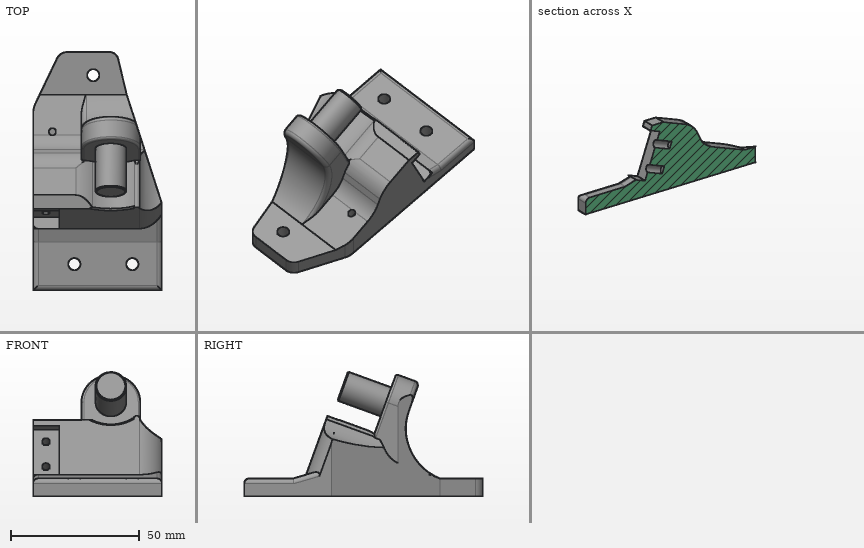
import cadquery as cq
import math

WIDTH = 50.0
LENGTH = 92.6
SLAB_TOP = 6.95
EDGE_ROUND = 1.9
TILT = 20.0
COS = math.cos(math.radians(TILT))
SIN = math.sin(math.radians(TILT))
SLOPE = SIN / COS

SIDE_BEND_LEFT = 70.8
REAR_LEFT = 10.5
REAR_RIGHT = 32.4
SIDE_BEND_RIGHT = 33.8
KNEE_X, KNEE_Y = 36.4, 76.0
REAR_ROUND_LEFT, REAR_ROUND_RIGHT = 4.6, 3.7
BEND_ROUND = 8.8

RAMP_START = 18.9
FOOT_Y, FOOT_Z = 24.0, 8.4
REAR_SLOPE_START = 76.0
FRONT_TOP = 29.6
FLAT_BACK = 37.05
STEP_LOW_Y = 60.5
STEP_HIGH_Y = 47.6
WALL_LOW = (54.7, 17.9)
WALL_HIGH = (53.5, 20.5)

PIN_X, PIN_Y, PIN_Z = 30.2, 55.0, 36.7
PIN_RADIUS = 6.0
PIN_LENGTH = 17.9
PIN_CHAMFER = 0.5
LUG_RADIUS = 11.5
LUG_THICKNESS = 9.6
LUG_FRONT_ROUND = 0.9
LUG_BACK_ROUND = 1.85

SADDLE_RADIUS = 16.1
SADDLE_BLEND_START = -13.7
SADDLE_BLEND_END = -7.1
SADDLE_RIGHT = 9.2
CREST_TOP = (10.2, -12.9)
CREST_END = (11.3, -14.3)
SADDLE_LIP = 0.65
SCOOP_MID = (14.1, -17.8)
SCOOP_END = (19.8, -20.75)
CORNER_WIDTH, CORNER_DEPTH = 8.8, 5.1

POCKET_WIDTH = 10.2
POCKET_DEPTH = 4.6
POCKET_HEIGHT = 20.3
POCKET_HOLE_X = 5.0
POCKET_HOLE_HEIGHTS = (5.0, 15.3)
SMALL_HOLE = 3.0
SMALL_HOLE_DEPTH = 7.4

MOUNT_HOLE = 4.6
MOUNT_POINTS = [(16.0, 10.2), (38.5, 10.2), (23.3, 83.55)]
REAR_HOLE_X, REAR_HOLE_Y = 7.5, 61.6
REAR_HOLE = 2.8
REAR_HOLE_DEPTH = 5.6

CLEARANCE = 55.6

pin_plane = cq.Plane((PIN_X, PIN_Y, PIN_Z), (1, 0, 0), (0, -COS, SIN))
front_plane = cq.Plane((0, FOOT_Y, FOOT_Z), (1, 0, 0), (0, SIN, COS))


def rear_slope(y):
    return SLAB_TOP + (REAR_SLOPE_START - y) * SLOPE


def upper_slope(y):
    return FRONT_TOP + (FLAT_BACK - y) * SLOPE


def outline_prism():
    """Base outline standing taller than the body."""
    points = [
        (0, 0), (WIDTH, 0), (WIDTH, SIDE_BEND_RIGHT), (KNEE_X, KNEE_Y),
        (REAR_RIGHT, LENGTH), (REAR_LEFT, LENGTH), (0, SIDE_BEND_LEFT),
    ]
    prism = cq.Workplane("XY").polyline(points).close().extrude(CLEARANCE)

    def round_corner(solid, x, y, radius):
        return solid.edges(cq.selectors.NearestToPointSelector((x, y, CLEARANCE / 2))).fillet(radius)

    prism = round_corner(prism, REAR_LEFT, LENGTH, REAR_ROUND_LEFT)
    prism = round_corner(prism, REAR_RIGHT, LENGTH, REAR_ROUND_RIGHT)
    return round_corner(prism, 0, SIDE_BEND_LEFT, BEND_ROUND)


def base():
    """Flat slab with a ramp up to the foot of the body and rounded front edges."""
    ramp_slope = (FOOT_Z - SLAB_TOP) / (FOOT_Y - RAMP_START)
    ramp_end_z = SLAB_TOP + (SIDE_BEND_RIGHT - RAMP_START) * ramp_slope
    front = (
        cq.Workplane("YZ")
        .polyline([(0, 0), (0, SLAB_TOP), (RAMP_START, SLAB_TOP),
                   (SIDE_BEND_RIGHT, ramp_end_z), (SIDE_BEND_RIGHT, 0)])
        .close()
        .extrude(WIDTH)
    )
    low = cq.selectors.BoxSelector((-0.9, -0.9, SLAB_TOP - 0.9), (WIDTH + 0.9, SIDE_BEND_RIGHT - 0.9, ramp_end_z))
    inner = cq.selectors.BoxSelector((0.9, RAMP_START - 0.9, 0), (WIDTH - 0.9, RAMP_START + 0.9, FOOT_Z))
    front = front.edges(low - inner).fillet(EDGE_ROUND)
    rear_length = LENGTH - SIDE_BEND_RIGHT
    rear = cq.Workplane("XY").box(WIDTH, rear_length, SLAB_TOP, centered=False)
    return front.union(rear.translate((0, SIDE_BEND_RIGHT, 0)))


def saddle_cutter():
    """Space above the body top: flat, blend, saddle trough, crest and side scoop."""
    flat = (upper_slope(PIN_Y) - PIN_Z) * COS
    bottom = -SADDLE_RADIUS
    blend_end = -math.sqrt(SADDLE_RADIUS**2 - SADDLE_BLEND_END**2)
    return (
        cq.Workplane(pin_plane)
        .workplane(offset=-CLEARANCE / 2)
        .moveTo(-CLEARANCE, flat)
        .lineTo(SADDLE_BLEND_START, flat)
        .tangentArcPoint((SADDLE_BLEND_END, blend_end), relative=False)
        .threePointArc((0, bottom), (SADDLE_RIGHT, -math.sqrt(SADDLE_RADIUS**2 - SADDLE_RIGHT**2)))
        .threePointArc(CREST_TOP, CREST_END)
        .threePointArc(SCOOP_MID, SCOOP_END)
        .lineTo(CLEARANCE, SCOOP_END[1])
        .lineTo(CLEARANCE, CLEARANCE)
        .lineTo(-CLEARANCE, CLEARANCE)
        .close()
        .extrude(CLEARANCE * 1.5)
    )


def body():
    """Wedge with a leaning front, stepped back and shaped top."""
    peak = (upper_slope(FOOT_Y) - FOOT_Z) * COS * COS
    wedge = (
        cq.Workplane("YZ")
        .moveTo(SIDE_BEND_RIGHT, 0)
        .lineTo(FOOT_Y, FOOT_Z)
        .lineTo(FOOT_Y + peak * SLOPE, FOOT_Z + peak)
        .lineTo(STEP_HIGH_Y, upper_slope(STEP_HIGH_Y))
        .tangentArcPoint(WALL_HIGH, relative=False)
        .lineTo(*WALL_LOW)
        .tangentArcPoint((STEP_LOW_Y, rear_slope(STEP_LOW_Y)), relative=False)
        .lineTo(REAR_SLOPE_START, SLAB_TOP)
        .lineTo(REAR_SLOPE_START, 0)
        .close()
        .extrude(WIDTH)
    )
    crest = (
        cq.Workplane("XY")
        .box(PIN_X, FLAT_BACK, CLEARANCE, centered=False)
        .translate((0, 0, FRONT_TOP))
    )
    radius = (CORNER_WIDTH**2 + CORNER_DEPTH**2) / (2 * CORNER_DEPTH)
    half_turn = math.atan2(CORNER_WIDTH, radius - CORNER_DEPTH) / 2
    start = WIDTH - CORNER_WIDTH
    mid = (start + radius * math.sin(half_turn), radius * (1 - math.cos(half_turn)))
    corner = (
        cq.Workplane(front_plane)
        .moveTo(start, 0)
        .threePointArc(mid, (WIDTH, CORNER_DEPTH))
        .lineTo(WIDTH + CORNER_WIDTH, CORNER_DEPTH)
        .lineTo(WIDTH + CORNER_WIDTH, -CORNER_WIDTH)
        .lineTo(start, -CORNER_WIDTH)
        .close()
        .extrude(CLEARANCE, both=True)
    )
    shaped = wedge.cut(saddle_cutter()).cut(crest)
    saddle_depth = PIN_Z - FOOT_Z + (PIN_Y - FOOT_Y) * SLOPE
    saddle_height = saddle_depth * COS - SADDLE_RADIUS
    saddle_front = (PIN_X, FOOT_Y + saddle_height * SIN, FOOT_Z + saddle_height * COS)
    lip = cq.selectors.NearestToPointSelector(saddle_front)
    return shaped.edges(lip).chamfer(SADDLE_LIP).cut(corner)


def lug():
    """Tilted round-topped lug flowing down the back into the rear slope."""
    down = PIN_Z / COS
    back = (PIN_Y + LUG_THICKNESS * COS, PIN_Z - LUG_THICKNESS * SIN)
    side = (
        cq.Workplane("YZ")
        .workplane(offset=PIN_X - LUG_RADIUS)
        .moveTo(back[0] + LUG_RADIUS * SIN, back[1] + LUG_RADIUS * COS)
        .lineTo(*back)
        .tangentArcPoint((REAR_SLOPE_START, SLAB_TOP), relative=False)
        .lineTo(REAR_SLOPE_START, 0)
        .lineTo(PIN_Y - down * SIN, 0)
        .lineTo(PIN_Y + LUG_RADIUS * SIN, PIN_Z + LUG_RADIUS * COS)
        .close()
        .extrude(2 * LUG_RADIUS)
    )
    front_shape = (
        cq.Workplane(pin_plane)
        .workplane(offset=-CLEARANCE)
        .moveTo(-LUG_RADIUS, 0)
        .threePointArc((0, LUG_RADIUS), (LUG_RADIUS, 0))
        .lineTo(LUG_RADIUS, -CLEARANCE)
        .lineTo(-LUG_RADIUS, -CLEARANCE)
        .close()
        .extrude(CLEARANCE)
    )
    solid = side.intersect(front_shape)
    near = cq.selectors.NearestToPointSelector
    front_top = (PIN_X, PIN_Y + LUG_RADIUS * SIN, PIN_Z + LUG_RADIUS * COS)
    back_top = (PIN_X, back[0] + LUG_RADIUS * SIN, back[1] + LUG_RADIUS * COS)
    return solid.edges(near(front_top)).fillet(LUG_FRONT_ROUND).edges(near(back_top)).fillet(LUG_BACK_ROUND)


def pin():
    shaft = cq.Workplane(pin_plane).workplane(offset=-LUG_THICKNESS / 2).circle(PIN_RADIUS)
    shaft = shaft.extrude(PIN_LENGTH + LUG_THICKNESS / 2)
    return shaft.faces("<Y").chamfer(PIN_CHAMFER)


def pocket_cutter():
    """Corner pocket in the front face with two blind holes in its floor."""
    cutter = cq.Workplane(front_plane).rect(2 * POCKET_WIDTH, 2 * POCKET_DEPTH).extrude(POCKET_HEIGHT)
    for height in POCKET_HOLE_HEIGHTS:
        hole_plane = cq.Plane(
            front_plane.toWorldCoords((POCKET_HOLE_X, 0, height)), (1, 0, 0), (0, COS, -SIN)
        )
        hole = cq.Workplane(hole_plane).circle(SMALL_HOLE / 2).extrude(POCKET_DEPTH + SMALL_HOLE_DEPTH)
        cutter = cutter.union(hole)
    return cutter


mount_holes = cq.Workplane("XY").pushPoints(MOUNT_POINTS).circle(MOUNT_HOLE / 2).extrude(CLEARANCE)
rear_hole = (
    cq.Workplane("XY", origin=(REAR_HOLE_X, REAR_HOLE_Y, rear_slope(REAR_HOLE_Y) - REAR_HOLE_DEPTH))
    .circle(REAR_HOLE / 2)
    .extrude(2 * REAR_HOLE_DEPTH)
)

result = base().union(body()).union(lug()).intersect(outline_prism())
result = result.cut(pocket_cutter()).cut(rear_hole).cut(mount_holes)
result = result.union(pin())